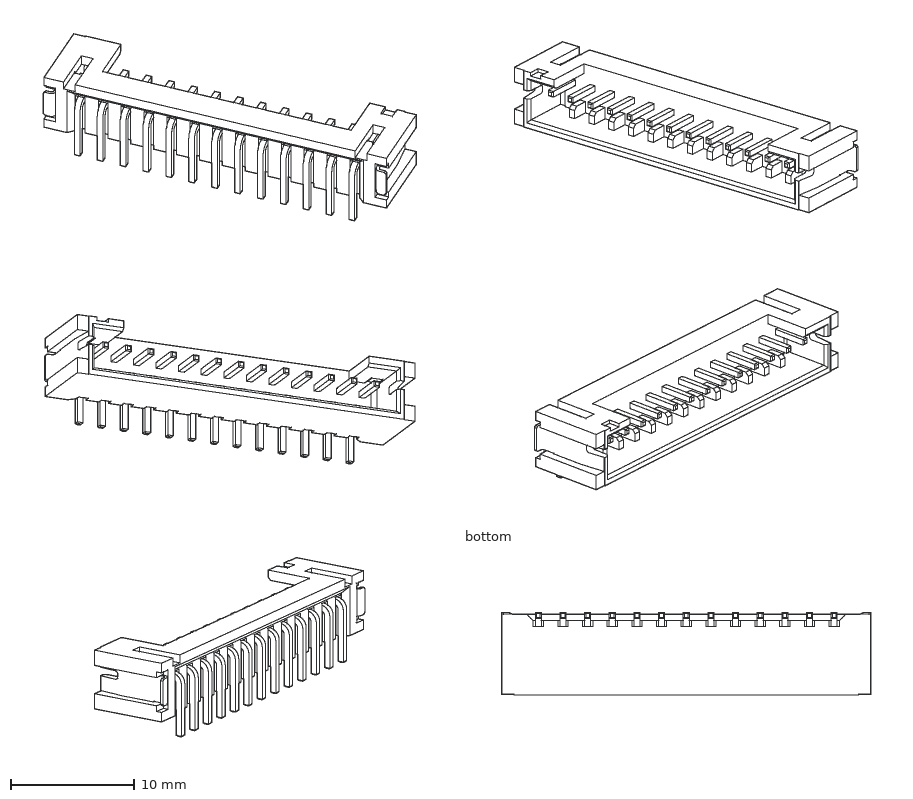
import cadquery as cq


pin_count = 13
pitch = 2.0
body_length = 29.95
body_height = 5.0
body_depth = 6.57
half_length = body_length / 2
end_width = 1.0
end_setback = 0.07

cavity_half_width = 13.4
cavity_floor_y = 2.54
cavity_bottom_z = 0.7
cavity_top_z = 4.15
mouth_chamfer = 0.25
corner_pocket_half_width = 12.8
corner_pocket_depth = 0.18
window_half_width = 10.87

rib_width = 0.54
rib_tip_y = 4.0
rib_top_z = 1.7
rib_chamfer = 0.28

recess_half_width = 12.95
recess_top_z = 4.18
recess_taper = 0.5
recess_depth = 0.5
pin_slot_width = 0.83
pin_slot_top_z = 3.53
pin_slot_depth = 0.5

channel_bottom_z = 1.3
channel_top_z = 3.7
channel_front_length = 1.27
tab_seat_bottom_z = 0.82
tab_seat_top_z = 4.18
tab_seat_depth = 0.47
notch_bottom_z = 2.56
notch_top_z = 3.28
notch_end_y = 4.77
notch_fillet = 0.25

top_slot_inner_x = 12.24
top_slot_width = 1.02
top_slot_length = 3.9
top_slot_depth = 0.68
top_slot_floor_z = body_height - top_slot_depth
marker_length = 1.0
marker_depth = 0.3

pin_size = 0.5
contact_front_y = -0.15
pin_tip_y = 5.6
pin_top_z = 3.35
pin_foot_z = -2.0
pin_bend_radius = 0.9
pin_tip_chamfer = 0.1

tab_thickness = 0.25
tab_bottom_z = 1.35
tab_top_z = 3.65
tab_bend_radius = 0.5
tab_end_y = 4.27
tab_corner_chamfer = 0.15


def box(x0, x1, y0, y1, z0, z1):
    """Axis-aligned block between opposite corners."""
    return cq.Workplane("XY").box(x1 - x0, y1 - y0, z1 - z0, centered=False).translate((x0, y0, z0))


def both_ends(shape):
    """The shape together with its mirror image across the middle of the row."""
    return shape.union(shape.mirror("YZ"))


def pin_positions():
    """X of every pin, centred on the middle of the row."""
    return [(i - (pin_count - 1) / 2) * pitch for i in range(pin_count)]


def make_cavity():
    """Mating cavity with a bevelled mouth and deeper corner pockets beside its floor."""
    height = cavity_top_z - cavity_bottom_z
    w = cavity_half_width
    cavity = box(-w, w, cavity_floor_y, body_depth, cavity_bottom_z, cavity_top_z)
    corner = box(
        corner_pocket_half_width, w,
        cavity_floor_y - corner_pocket_depth, cavity_floor_y,
        cavity_bottom_z, top_slot_floor_z,
    )
    mouth = (
        cq.Workplane("XZ", origin=(0, body_depth, (cavity_bottom_z + cavity_top_z) / 2))
        .rect(2 * (w + mouth_chamfer), height + 2 * mouth_chamfer)
        .workplane(offset=mouth_chamfer)
        .rect(2 * w, height)
        .loft(ruled=True)
    )
    return cavity.union(both_ends(corner)).union(mouth)


def make_window():
    """Opening through the top wall above the mating cavity."""
    w = window_half_width
    return box(-w, w, cavity_floor_y, body_depth, cavity_top_z - mouth_chamfer, body_height)


def make_ribs():
    """Ribs on the cavity floor, one in each gap between neighbouring pins."""
    ribs = cq.Workplane("XY")
    for x in pin_positions()[:-1]:
        centre = x + pitch / 2
        rib = box(
            centre - rib_width / 2, centre + rib_width / 2,
            cavity_floor_y, rib_tip_y,
            cavity_bottom_z, rib_top_z,
        )
        ribs = ribs.union(rib.faces(">Y").edges(">Z").chamfer(rib_chamfer))
    return ribs


def make_front_recess():
    """Recess open at the underside; its top and ends slope inwards, and each pin has a slot."""
    floor_half = recess_half_width - recess_taper
    recess = (
        cq.Workplane("XZ")
        .center(0, recess_top_z / 2)
        .rect(2 * recess_half_width, recess_top_z)
        .workplane(offset=-recess_depth)
        .center(0, -recess_taper / 2)
        .rect(2 * floor_half, recess_top_z - recess_taper)
        .loft(ruled=True)
    )
    for x in pin_positions():
        recess = recess.union(box(
            x - pin_slot_width / 2, x + pin_slot_width / 2,
            0, recess_depth + pin_slot_depth,
            0, pin_slot_top_z,
        ))
    return recess


def make_end_cuts():
    """Side channel, tab seat, setback and notch of the +X end."""
    floor_x = half_length - end_width
    tab_face_x = floor_x + tab_thickness
    channel = (
        cq.Workplane("XY", origin=(0, 0, channel_bottom_z))
        .moveTo(half_length, 0)
        .lineTo(floor_x, 0)
        .lineTo(floor_x, channel_front_length)
        .lineTo(tab_face_x, channel_front_length)
        .lineTo(tab_face_x, tab_end_y)
        .lineTo(floor_x, body_depth)
        .lineTo(half_length, body_depth)
        .close()
        .extrude(channel_top_z - channel_bottom_z)
    )
    seat = box(floor_x, half_length, 0, tab_seat_depth, tab_seat_bottom_z, tab_seat_top_z)
    setback = box(floor_x, half_length, body_depth - end_setback, body_depth, 0, body_height)
    notch = (
        box(cavity_half_width, half_length, notch_end_y, body_depth, notch_bottom_z, notch_top_z)
        .faces("<Y").edges("|X").fillet(notch_fillet)
    )
    return channel.union(seat).union(setback).union(notch)


def make_top_slot():
    """Slot in the top face of the +X end that breaks through into the cavity."""
    outer_x = top_slot_inner_x + top_slot_width
    slot = box(top_slot_inner_x, outer_x, 0, top_slot_length, top_slot_floor_z, body_height)
    opening = box(top_slot_inner_x, outer_x, cavity_floor_y, top_slot_length, cavity_top_z, body_height)
    return slot.union(opening)


def make_marker():
    """Shallow pocket in the top face that marks the +X end."""
    return box(
        top_slot_inner_x, top_slot_inner_x + top_slot_width,
        body_depth - marker_length, body_depth,
        body_height - marker_depth, body_height,
    )


def make_pin(x):
    """Square pin bent from the mating direction down to the board."""
    bend_y = contact_front_y + pin_bend_radius
    bend_z = pin_top_z - pin_bend_radius
    inner_radius = pin_bend_radius - pin_size
    pin = (
        cq.Workplane("YZ")
        .moveTo(contact_front_y, pin_foot_z)
        .lineTo(contact_front_y, bend_z)
        .radiusArc((bend_y, pin_top_z), pin_bend_radius)
        .lineTo(pin_tip_y, pin_top_z)
        .lineTo(pin_tip_y, pin_top_z - pin_size)
        .lineTo(bend_y, pin_top_z - pin_size)
        .radiusArc((bend_y - inner_radius, bend_z), -inner_radius)
        .lineTo(contact_front_y + pin_size, pin_foot_z)
        .close()
        .extrude(pin_size / 2, both=True)
    )
    pin = pin.faces("<Z").edges().chamfer(pin_tip_chamfer)
    pin = pin.faces(">Y").edges().chamfer(pin_tip_chamfer)
    return pin.translate((x, 0, 0))


def make_tab():
    """Bent strip lying on the +X channel floor with its foot turned outwards."""
    floor_x = half_length - end_width
    bend_x = floor_x + tab_bend_radius
    bend_y = contact_front_y + tab_bend_radius
    inner_radius = tab_bend_radius - tab_thickness
    tab = (
        cq.Workplane("XY", origin=(0, 0, tab_bottom_z))
        .moveTo(floor_x, tab_end_y)
        .lineTo(floor_x, bend_y)
        .radiusArc((bend_x, contact_front_y), -tab_bend_radius)
        .lineTo(half_length, contact_front_y)
        .lineTo(half_length, contact_front_y + tab_thickness)
        .lineTo(bend_x, contact_front_y + tab_thickness)
        .radiusArc((floor_x + tab_thickness, bend_y), inner_radius)
        .lineTo(floor_x + tab_thickness, tab_end_y)
        .close()
        .extrude(tab_top_z - tab_bottom_z)
    )
    return tab.faces(">X").edges("|Y").chamfer(tab_corner_chamfer)


result = box(-half_length, half_length, 0, body_depth, 0, body_height)
result = result.cut(make_cavity()).cut(make_window()).union(make_ribs())
result = result.cut(make_front_recess())
result = result.cut(both_ends(make_end_cuts()))
result = result.cut(both_ends(make_top_slot())).cut(make_marker())
for pin_x in pin_positions():
    result = result.union(make_pin(pin_x))
result = result.union(both_ends(make_tab()))